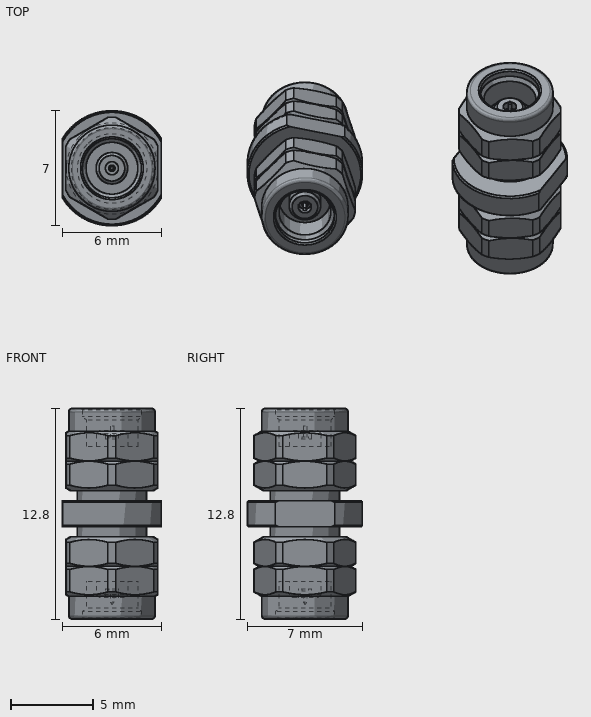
import cadquery as cq
import math

length = 12.8
half_length = length / 2

flange_diameter = 7.0
flange_width = 6.0
flange_thickness = 1.6
flange_chamfer = 0.1

neck_radius = 2.11

nut_across_flats = 5.6
nut_corner_radius = 3.1
nut_start = 1.38
nut_height = 1.82
nut_chamfer_angle = 30.0
nut_inner_face_radius = 2.48
nut_seam_face_radius = 2.78

sleeve_radius = 2.62
sleeve_fillet = 0.2

mouth_radius = 1.91
entry_radius = 1.79
mouth_chamfer_depth = 0.08
entry_depth = 0.47
bore_radius = 1.57
bore_depth = 2.3
taper_end_depth = entry_depth + entry_radius - bore_radius

insulator_radius = 0.96
insulator_chamfer = 0.18
insulator_top_depth = 1.33
recess_radius = 0.4
recess_depth = 0.51

pin_radius = 0.1
pin_tip_depth = 0.91
pin_cone_height = 0.14
pin_shoulder_radius = 0.19
pin_shoulder_height = 0.13


def revolve_profile(points):
    """Turn a closed (radius, height) outline about the Z axis."""
    return cq.Workplane("XZ").polyline(points).close().revolve(360, (0, 0, 0), (0, 1, 0))


def make_flange():
    disc = (
        cq.Workplane("XY")
        .circle(flange_diameter / 2)
        .extrude(flange_thickness / 2, both=True)
        .edges("%CIRCLE")
        .chamfer(flange_chamfer)
    )
    flats = cq.Workplane("XY").box(flange_width, flange_diameter, flange_thickness)
    return disc.intersect(flats)


def make_nut(bottom, bottom_face_radius, top_face_radius):
    """Hexagon with rounded corners and conical chamfers on both faces."""
    top = bottom + nut_height
    slope = math.tan(math.radians(nut_chamfer_angle))
    bottom_drop = (nut_corner_radius - bottom_face_radius) * slope
    top_drop = (nut_corner_radius - top_face_radius) * slope
    envelope = revolve_profile([
        (0, bottom),
        (bottom_face_radius, bottom),
        (nut_corner_radius, bottom + bottom_drop),
        (nut_corner_radius, top - top_drop),
        (top_face_radius, top),
        (0, top),
    ])
    hexagon = (
        cq.Workplane("XY", origin=(0, 0, bottom))
        .polygon(6, nut_across_flats, circumscribed=True)
        .extrude(nut_height)
    )
    return hexagon.intersect(envelope)


def make_sleeve():
    start = nut_start + nut_height
    return (
        cq.Workplane("XY", origin=(0, 0, start))
        .circle(sleeve_radius)
        .extrude(half_length - start)
        .faces(">Z")
        .edges()
        .fillet(sleeve_fillet)
    )


def make_socket():
    """Empty space inside the end, down to the socket floor."""
    return revolve_profile([
        (0, half_length),
        (mouth_radius, half_length),
        (entry_radius, half_length - mouth_chamfer_depth),
        (entry_radius, half_length - entry_depth),
        (bore_radius, half_length - taper_end_depth),
        (bore_radius, half_length - bore_depth),
        (0, half_length - bore_depth),
    ])


def make_contact():
    """Insulator with its recess, and the pointed, shouldered pin inside it."""
    floor = half_length - bore_depth
    insulator_top = half_length - insulator_top_depth
    recess_floor = insulator_top - recess_depth
    shoulder_top = recess_floor + pin_shoulder_height
    pin_tip = half_length - pin_tip_depth
    return revolve_profile([
        (0, floor),
        (insulator_radius, floor),
        (insulator_radius, insulator_top - insulator_chamfer),
        (insulator_radius - insulator_chamfer, insulator_top),
        (recess_radius, insulator_top),
        (recess_radius, recess_floor),
        (pin_shoulder_radius, recess_floor),
        (pin_shoulder_radius, shoulder_top),
        (pin_radius, shoulder_top),
        (pin_radius, pin_tip - pin_cone_height),
        (0, pin_tip),
    ])


def make_end():
    """Everything between the flange and the +Z end face."""
    neck = cq.Workplane("XY").circle(neck_radius).extrude(nut_start)
    inner_nut = make_nut(nut_start, nut_inner_face_radius, nut_seam_face_radius)
    outer_nut = make_nut(nut_start + nut_height, nut_seam_face_radius, sleeve_radius)
    body = neck.union(inner_nut).union(outer_nut).union(make_sleeve())
    return body.cut(make_socket()).union(make_contact())


upper_end = make_end()
lower_end = upper_end.mirror("XY")
result = make_flange().union(upper_end).union(lower_end)